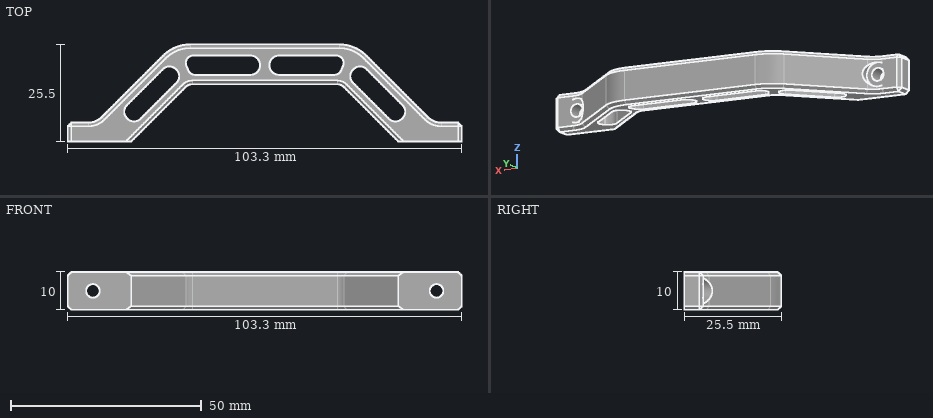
import cadquery as cq
import math

LENGTH = 103.28
RISE = 25.5
WIDTH = 10.0

FOOT_THICKNESS = 5.0
BRIDGE_THICKNESS = 10.5
LEG_THICKNESS = 10.0
LEG_ANGLE = 45.0
FOOT_INNER_X = 35.0
OUTER_BEND_RADIUS = 10.0
INNER_BEND_RADIUS = 2.5
FOOT_FILLET_RADIUS = 5.0
EDGE_CHAMFER = 1.0

SLOT_WIDTH = 5.0
BRIDGE_SLOT_LENGTH = 19.3
BRIDGE_SLOT_GAP = 2.5
BRIDGE_SLOT_Y = 20.0
BRIDGE_SLOT_SLANT = LEG_ANGLE / 2
BRIDGE_SLOT_INNER_RADIUS = 2.49
BRIDGE_SLOT_OUTER_RADIUS = 1.9
LEG_SLOT_RADIUS = 2.4
LEG_SLOT_LENGTH = 18.1
LEG_SLOT_CENTER_X = 29.6

HOLE_SPACING = 90.0
HOLE_DIAMETER = 3.5
HEAD_DIAMETER = 6.5

TOLERANCE = 0.01

HALF_LENGTH = LENGTH / 2
LEG_RUN_PER_RISE = 1 / math.tan(math.radians(LEG_ANGLE))
BRIDGE_BOTTOM = RISE - BRIDGE_THICKNESS
LEG_OUTER_X = FOOT_INNER_X + LEG_THICKNESS / math.sin(math.radians(LEG_ANGLE))
FOOT_FILLET_X = LEG_OUTER_X - FOOT_THICKNESS * LEG_RUN_PER_RISE
OUTER_BEND_X = LEG_OUTER_X - RISE * LEG_RUN_PER_RISE
INNER_BEND_X = FOOT_INNER_X - BRIDGE_BOTTOM * LEG_RUN_PER_RISE


def near(x, y):
    """Selector for the edge whose middle lies at (x, y)."""
    return cq.selectors.BoxSelector(
        (x - TOLERANCE, y - TOLERANCE, -WIDTH), (x + TOLERANCE, y + TOLERANCE, WIDTH)
    )


def round_bend(body, bend_x, bend_y, radius):
    """Round the matching bends of both legs."""
    for side in (-1, 1):
        body = body.edges("|Z").edges(near(side * bend_x, bend_y)).fillet(radius)
    return body


def make_bar():
    """Extrude the symmetric handle outline and round its bends."""
    half_outline = [
        (FOOT_INNER_X, 0),
        (HALF_LENGTH, 0),
        (HALF_LENGTH, FOOT_THICKNESS),
        (FOOT_FILLET_X, FOOT_THICKNESS),
        (OUTER_BEND_X, RISE),
    ]
    mirrored = [(-x, y) for x, y in reversed(half_outline)]
    inner_bends = [(-INNER_BEND_X, BRIDGE_BOTTOM), (INNER_BEND_X, BRIDGE_BOTTOM)]
    outline = half_outline + mirrored + inner_bends
    bar = cq.Workplane("XY").polyline(outline).close().extrude(WIDTH / 2, both=True)
    bar = round_bend(bar, OUTER_BEND_X, RISE, OUTER_BEND_RADIUS)
    bar = round_bend(bar, FOOT_FILLET_X, FOOT_THICKNESS, FOOT_FILLET_RADIUS)
    return round_bend(bar, INNER_BEND_X, BRIDGE_BOTTOM, INNER_BEND_RADIUS)


def chamfer_edges(bar):
    """Bevel every outside edge except those around the mounting faces."""
    rim_edges = bar.faces("<Z or >Z").edges()
    bevelled = rim_edges.filter(lambda edge: edge.Center().y > TOLERANCE)
    for side in (-1, 1):
        bevelled = bevelled.add(bar.edges("|Z").edges(near(side * HALF_LENGTH, FOOT_THICKNESS)))
    return bar.newObject(bevelled.vals()).chamfer(EDGE_CHAMFER)


def make_slot(length, far_slant, near_radius, far_radius):
    """Slot cutter along +X from the origin; its far end leans out by far_slant degrees toward +Y."""
    half_width = SLOT_WIDTH / 2
    lean = half_width * math.tan(math.radians(far_slant))
    near_corners = [(0, half_width), (0, -half_width)]
    far_corners = [(length - lean, -half_width), (length + lean, half_width)]
    slot = cq.Workplane("XY").polyline(near_corners + far_corners).close().extrude(WIDTH, both=True)
    for corner in near_corners:
        slot = slot.edges("|Z").edges(near(*corner)).fillet(near_radius)
    for corner in far_corners:
        slot = slot.edges("|Z").edges(near(*corner)).fillet(far_radius)
    return slot


def cut_slots(body):
    """Cut two slots through the bridge and one through each leg."""
    bridge_slot = make_slot(
        BRIDGE_SLOT_LENGTH, BRIDGE_SLOT_SLANT, BRIDGE_SLOT_INNER_RADIUS, BRIDGE_SLOT_OUTER_RADIUS
    ).translate((BRIDGE_SLOT_GAP / 2, BRIDGE_SLOT_Y, 0))
    leg_middle_x = (FOOT_INNER_X + LEG_OUTER_X) / 2
    leg_slot_y = (leg_middle_x - LEG_SLOT_CENTER_X) / LEG_RUN_PER_RISE
    leg_slot = make_slot(LEG_SLOT_LENGTH, 0, LEG_SLOT_RADIUS, LEG_SLOT_RADIUS)
    leg_slot = leg_slot.translate((-LEG_SLOT_LENGTH / 2, 0, 0))
    leg_slot = leg_slot.rotate((0, 0, 0), (0, 0, 1), -LEG_ANGLE)
    leg_slot = leg_slot.translate((LEG_SLOT_CENTER_X, leg_slot_y, 0))
    for slot in (bridge_slot, leg_slot):
        body = body.cut(slot).cut(slot.mirror("YZ"))
    return body


def cylinder_along_y(x, diameter, start_y):
    """Cylinder running toward +Y from start_y, at mid width."""
    circle = cq.Workplane("XZ", origin=(x, start_y, 0)).circle(diameter / 2)
    return circle.extrude(-RISE)


def cut_screw_holes(body):
    """Drill each foot and clear the leg above it for the screw head."""
    for side in (-1, 1):
        x = side * HOLE_SPACING / 2
        body = body.cut(cylinder_along_y(x, HOLE_DIAMETER, 0))
        body = body.cut(cylinder_along_y(x, HEAD_DIAMETER, FOOT_THICKNESS))
    return body


result = cut_screw_holes(cut_slots(chamfer_edges(make_bar())))